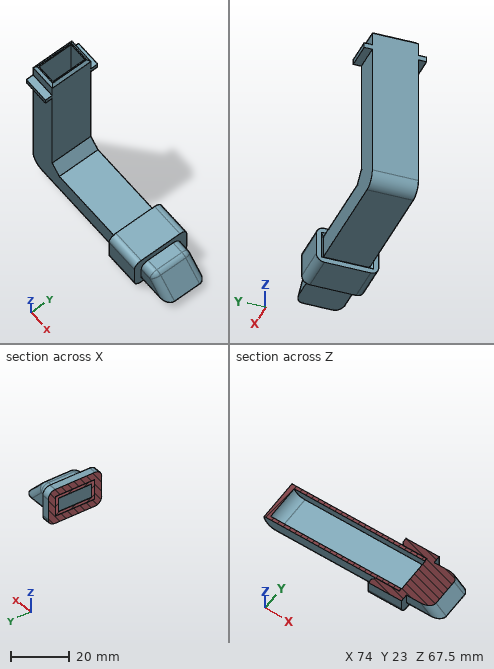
import cadquery as cq

overall_length = 74.0
overall_width = 23.0
overall_height = 67.5

tube_width = 17.0
leg_depth = 10.5
arm_height = 8.5
tube_wall = 1.5
elbow_radius = 5.0
inner_corner_chamfer = 3.9
rim_chamfer = 1.0

lug_thickness = 2.0
lug_drop = 5.9

socket_start = 45.5
socket_length = 13.9
mouth_chamfer = 1.0

socket_wall = (overall_width - tube_width) / 2
edge_radius = socket_wall
leg_top = overall_height - socket_wall
socket_end = socket_start + socket_length
arm_end = socket_end - socket_wall


def centered_box(x_start, x_end, width, z_bottom, z_top):
    """Box between the given X and Z limits, centered on Y = 0."""
    return (
        cq.Workplane("XY")
        .box(x_end - x_start, width, z_top - z_bottom, centered=(False, True, False))
        .translate((x_start, 0, z_bottom))
    )


def l_shape(x_start, x_end, z_bottom, z_top, leg_front, arm_top, width):
    """L-shaped bar with a rounded outer elbow."""
    leg = centered_box(x_start, leg_front, width, z_bottom, z_top)
    arm = centered_box(x_start, x_end, width, z_bottom, arm_top)
    return leg.union(arm).edges("|Y and <X and <Z").fillet(elbow_radius)


def make_tube():
    """Hollow elbow, open at the leg rim and at the end of the arm."""
    outside = l_shape(0, arm_end, 0, leg_top, leg_depth, arm_height, tube_width)
    outside = outside.faces(">Z").edges().chamfer(rim_chamfer)

    corner_web = (
        cq.Workplane("XZ")
        .moveTo(leg_depth, arm_height)
        .lineTo(leg_depth + inner_corner_chamfer, arm_height)
        .lineTo(leg_depth, arm_height + inner_corner_chamfer)
        .close()
        .extrude(tube_width / 2, both=True)
    )

    lug_top = leg_top - lug_drop
    lugs = centered_box(0, leg_depth, overall_width, lug_top - lug_thickness, lug_top)

    duct = l_shape(
        tube_wall,
        arm_end,
        tube_wall,
        leg_top,
        leg_depth - tube_wall,
        arm_height - tube_wall,
        tube_width - 2 * tube_wall,
    )
    return outside.union(corner_web).union(lugs).cut(duct)


def make_tip():
    """Solid tip with a 45 degree bevel and rounded upper edges."""
    bevel_top = overall_length - arm_height
    tip = (
        cq.Workplane("XZ")
        .moveTo(socket_end, 0)
        .lineTo(overall_length, 0)
        .lineTo(bevel_top, arm_height)
        .lineTo(socket_end, arm_height)
        .close()
        .extrude(tube_width / 2, both=True)
    )
    top_sides = tip.faces(">Z").edges("|X or >X")
    bevel_sides = tip.faces(">(1, 0, 1)").edges("not |Y")
    return top_sides.add(bevel_sides).fillet(edge_radius)


def make_end_cap():
    """Blind socket with a flared mouth, joined to the tip by its closed end."""
    socket = centered_box(
        socket_start, socket_end, overall_width, -socket_wall, arm_height + socket_wall
    )
    socket = socket.edges("|X").fillet(edge_radius)
    bore = centered_box(socket_start, arm_end, tube_width, 0, arm_height)
    flare = (
        cq.Workplane("YZ", origin=(socket_start, 0, arm_height / 2))
        .rect(tube_width + 2 * mouth_chamfer, arm_height + 2 * mouth_chamfer)
        .workplane(offset=mouth_chamfer)
        .rect(tube_width, arm_height)
        .loft()
    )
    return socket.cut(bore).cut(flare).union(make_tip())


tube = make_tube()
end_cap = make_end_cap()
result = cq.Compound.makeCompound([tube.solids().val(), end_cap.solids().val()])